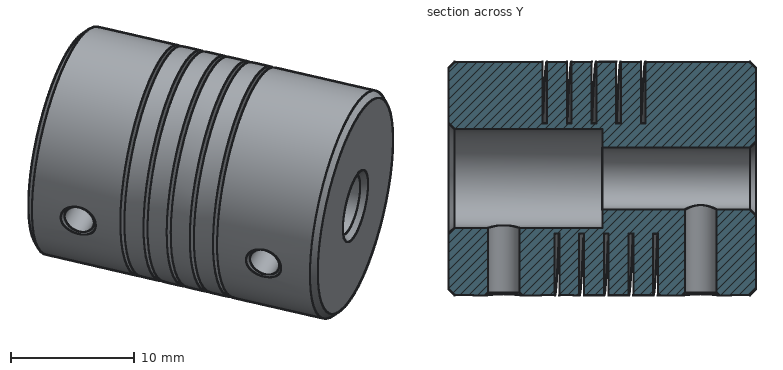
import cadquery as cq


length = 25.0
outer_diameter = 19.0
outer_chamfer = 0.5

wide_bore_diameter = 8.0
narrow_bore_diameter = 5.0
bore_step_x = 0.0
bore_chamfer = 0.5

slit_pitch = 2.0
slit_turns = 5
slit_width = 0.35
slit_floor_wall = 0.5
slit_span = slit_pitch * slit_turns
slit_start_x = -(slit_span + slit_width) / 2
slit_inner_radius = wide_bore_diameter / 2 + slit_floor_wall
blade_overshoot = 0.5

screw_hole_diameter = 2.53
screw_hole_chamfer = 0.25
screw_offset_x = 8.0
screw_directions = (cq.Vector(0, -1, 0), cq.Vector(0, 0, -1))

half_length = length / 2
outer_radius = outer_diameter / 2
slit_outer_radius = outer_radius + blade_overshoot


def x_cylinder(diameter, x_start, x_end):
    """Solid cylinder on the X axis between two stations."""
    return cq.Workplane("YZ", origin=(x_start, 0, 0)).circle(diameter / 2).extrude(x_end - x_start)


def x_countersink(bore_diameter, end_x, inward):
    """45-degree cone that chamfers the mouth of a bore at one end of the body."""
    bore_radius = bore_diameter / 2
    return cq.Workplane(
        cq.Solid.makeCone(
            bore_radius + bore_chamfer,
            bore_radius,
            bore_chamfer,
            cq.Vector(end_x, 0, 0),
            cq.Vector(inward, 0, 0),
        )
    )


def body():
    """Outer cylinder with both rims chamfered."""
    return x_cylinder(outer_diameter, -half_length, half_length).edges("%CIRCLE").chamfer(outer_chamfer)


def stepped_bore():
    """Wide and narrow bores with chamfered mouths."""
    wide = x_cylinder(wide_bore_diameter, -half_length, bore_step_x)
    narrow = x_cylinder(narrow_bore_diameter, -half_length, half_length)
    wide_mouth = x_countersink(wide_bore_diameter, -half_length, 1)
    narrow_mouth = x_countersink(narrow_bore_diameter, half_length, -1)
    return wide.union(narrow).union(wide_mouth).union(narrow_mouth)


def helical_slit():
    """Radial blade swept along a helix that starts on the +Y side."""
    path = cq.Wire.makeHelix(
        slit_pitch,
        slit_span,
        outer_radius,
        cq.Vector(slit_start_x, 0, 0),
        cq.Vector(1, 0, 0),
    )
    blade_depth = slit_outer_radius - slit_inner_radius
    blade_centre_z = (slit_outer_radius + slit_inner_radius) / 2
    blade = (
        cq.Workplane("XZ")
        .center(slit_start_x, blade_centre_z)
        .rect(slit_width, blade_depth)
        .sweep(cq.Workplane(path), isFrenet=True)
    )
    return blade.rotate((0, 0, 0), (1, 0, 0), -90)


def screw_hole(x, outward):
    """Radial hole from the bore to the outside, with a 45-degree countersunk mouth."""
    hole_radius = screw_hole_diameter / 2
    axis_point = cq.Vector(x, 0, 0)
    hole = cq.Solid.makeCylinder(hole_radius, outer_radius, axis_point, outward)
    mouth = cq.Solid.makeCone(
        hole_radius + screw_hole_chamfer,
        hole_radius,
        screw_hole_chamfer,
        axis_point + outward * outer_radius,
        outward * -1,
    )
    return cq.Workplane(hole).union(cq.Workplane(mouth))


result = body().cut(stepped_bore())
for screw_x in (-screw_offset_x, screw_offset_x):
    for direction in screw_directions:
        result = result.cut(screw_hole(screw_x, direction))
result = result.cut(helical_slit())